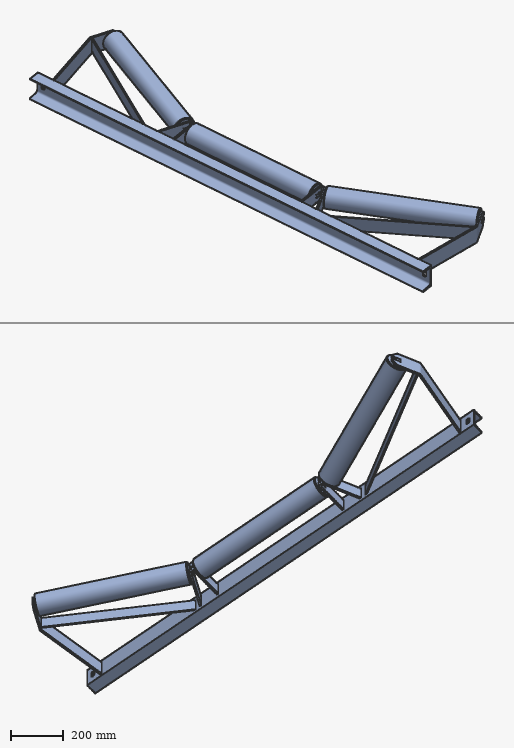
import cadquery as cq
import math


BEAM_LENGTH = 1900.0
BEAM_HEIGHT = 100.0
FLANGE_DEPTH = 50.0
WEB_THICKNESS = 5.0
FLANGE_ROOT = 10.0
FLANGE_TIP = 5.0
ROOT_FILLET = 10.0
TIP_FILLET = 4.0
SLOT_WIDTH = 17.0
SLOT_HEIGHT = 30.0
SLOT_FROM_END = 28.0

TROUGH_ANGLE = 25.0
ROLLER_LENGTH = 600.0
ROLLER_RADIUS = 44.6
ROLLER_END_CHAMFER = 4.0
ROLLER_TOP_Y = 420.0
CENTER_ROLLER_Y = 118.0
WING_ROLLER_X = 614.0
SHAFT_WIDTH = 15.0
SHAFT_DEPTH = 19.0

OUTER_PLATE_WIDTH = 76.0
INNER_PLATE_WIDTH = 60.0
PLATE_THICKNESS = 8.0
PLATE_GAP = 4.0
BRIDGE_TOP_Y = 145.0
OUTER_PLATE_TOP = 27.0
PLATE_TOP_CHAMFER = 20.0
BEND_Y = 302.0
BEND_RADIUS = 19.0
OUTER_FOOT_X = 885.0

STRUT_THICKNESS = 5.0
STRUT_WIDTH = 60.0
STRUT_FOOT_X = 422.0
STRUT_TOP_Y = 308.0

SIN = math.sin(math.radians(TROUGH_ANGLE))
COS = math.cos(math.radians(TROUGH_ANGLE))
WING_ROLLER_Y = (
    ROLLER_TOP_Y
    - (ROLLER_LENGTH / 2 - ROLLER_END_CHAMFER) * SIN
    - ROLLER_RADIUS * COS
)
PLATE_INSIDE = ROLLER_LENGTH / 2 + PLATE_GAP
PLATE_OUTSIDE = PLATE_INSIDE + PLATE_THICKNESS
PLATE_MIDDLE = (PLATE_INSIDE + PLATE_OUTSIDE) / 2


def wing_point(along, up):
    """Point in the frame of the +X wing roller: along its axis outward, up across it."""
    return (WING_ROLLER_X + along * COS - up * SIN, WING_ROLLER_Y + along * SIN + up * COS)


def wing_point_at_y(along, y):
    """Point at height y on the plane that crosses the wing roller axis at the given distance."""
    up = (y - WING_ROLLER_Y - along * SIN) / COS
    return wing_point(along, up)


def round_edges_near(body, points, radius):
    """Fillet the edge of body nearest to each point of the given XYZ list."""
    for point in points:
        body = body.edges(cq.selectors.NearestToPointSelector(point)).fillet(radius)
    return body


def make_beam():
    """Channel with tapered flanges, its web's back on the plane Y = 0, and a slot near each end."""
    half = BEAM_HEIGHT / 2
    root = half - FLANGE_ROOT
    tip = half - FLANGE_TIP
    beam = (
        cq.Workplane("YZ", origin=(-BEAM_LENGTH / 2, 0, 0))
        .polyline([
            (0, -half),
            (0, half),
            (-FLANGE_DEPTH, half),
            (-FLANGE_DEPTH, tip),
            (-WEB_THICKNESS, root),
            (-WEB_THICKNESS, -root),
            (-FLANGE_DEPTH, -tip),
            (-FLANGE_DEPTH, -half),
        ])
        .close()
        .extrude(BEAM_LENGTH)
    )
    beam = round_edges_near(beam, [(0, -WEB_THICKNESS, root), (0, -WEB_THICKNESS, -root)], ROOT_FILLET)
    beam = round_edges_near(beam, [(0, -FLANGE_DEPTH, tip), (0, -FLANGE_DEPTH, -tip)], TIP_FILLET)
    slot_x = BEAM_LENGTH / 2 - SLOT_FROM_END
    slots = (
        cq.Workplane("XZ")
        .pushPoints([(-slot_x, 0), (slot_x, 0)])
        .slot2D(SLOT_HEIGHT, SLOT_WIDTH, 90)
        .extrude(WEB_THICKNESS)
    )
    return beam.cut(slots)


def make_roller():
    """Roller along X centred on the origin, with a flat-sided shaft stub at each end."""
    barrel = (
        cq.Workplane("YZ", origin=(-ROLLER_LENGTH / 2, 0, 0))
        .circle(ROLLER_RADIUS)
        .extrude(ROLLER_LENGTH)
        .faces("<X or >X")
        .chamfer(ROLLER_END_CHAMFER)
    )
    shaft = cq.Workplane("XY").box(2 * PLATE_OUTSIDE, SHAFT_DEPTH, SHAFT_WIDTH)
    return barrel.union(shaft)


def place_on_wing(body):
    """Move a body from the roller's own frame to the +X wing."""
    return body.rotate((0, 0, 0), (0, 0, 1), TROUGH_ANGLE).translate((WING_ROLLER_X, WING_ROLLER_Y, 0))


def shaft_slot(start, end):
    """Open-topped slot for a roller shaft, in the roller's own frame."""
    depth = 2 * ROLLER_RADIUS
    return cq.Workplane("XY").box(end - start, depth, SHAFT_WIDTH).translate(
        ((start + end) / 2, (depth - SHAFT_DEPTH) / 2, 0))


def plate(points, width):
    """Extrude an XY outline to the given width, centred on Z = 0."""
    return cq.Workplane("XY", origin=(0, 0, -width / 2)).polyline(points).close().extrude(width)


def make_outer_bracket():
    """Bent plate at the outer end of the +X wing roller, slotted at its top for the shaft."""
    bend = wing_point_at_y(PLATE_OUTSIDE, BEND_Y)
    leg_angle = math.atan2(bend[0] - OUTER_FOOT_X, BEND_Y)
    foot_width = PLATE_THICKNESS / math.cos(leg_angle)
    half_turn = (math.radians(TROUGH_ANGLE) + leg_angle) / 2
    turn_middle = (math.radians(TROUGH_ANGLE) - leg_angle) / 2
    miter = PLATE_THICKNESS / math.cos(half_turn)
    inner_bend = (bend[0] - miter * math.cos(turn_middle), bend[1] - miter * math.sin(turn_middle))
    bracket = plate([
        (OUTER_FOOT_X, 0),
        bend,
        wing_point(PLATE_OUTSIDE, OUTER_PLATE_TOP),
        wing_point(PLATE_INSIDE, OUTER_PLATE_TOP),
        inner_bend,
        (OUTER_FOOT_X - foot_width, 0),
    ], OUTER_PLATE_WIDTH)
    bracket = round_edges_near(bracket, [(*bend, 0)], BEND_RADIUS)
    bracket = round_edges_near(bracket, [(*inner_bend, 0)], BEND_RADIUS - PLATE_THICKNESS)
    for side in (-1, 1):
        corner = (*wing_point(PLATE_MIDDLE, OUTER_PLATE_TOP), side * OUTER_PLATE_WIDTH / 2)
        bracket = bracket.edges(cq.selectors.NearestToPointSelector(corner)).chamfer(PLATE_TOP_CHAMFER)
    return bracket.cut(place_on_wing(shaft_slot(PLATE_INSIDE, PLATE_OUTSIDE)))


def make_inner_bracket():
    """Bent plate with one leg for the centre roller, one for the wing roller, and a bridge between."""
    bridge_under = BRIDGE_TOP_Y - PLATE_THICKNESS
    bracket = plate([
        (PLATE_INSIDE, 0),
        (PLATE_INSIDE, BRIDGE_TOP_Y),
        wing_point_at_y(-PLATE_INSIDE, BRIDGE_TOP_Y),
        wing_point_at_y(-PLATE_INSIDE, 0),
        wing_point_at_y(-PLATE_OUTSIDE, 0),
        wing_point_at_y(-PLATE_OUTSIDE, bridge_under),
        (PLATE_OUTSIDE, bridge_under),
        (PLATE_OUTSIDE, 0),
    ], INNER_PLATE_WIDTH)
    bracket = bracket.cut(place_on_wing(shaft_slot(-PLATE_OUTSIDE, -PLATE_INSIDE)))
    return bracket.cut(shaft_slot(PLATE_INSIDE, PLATE_OUTSIDE).translate((0, CENTER_ROLLER_Y, 0)))


def make_strut(bracket):
    """Flat bar from the beam back to the bend of the outer bracket, trimmed flush against both."""
    top_x, top_y = wing_point_at_y(PLATE_MIDDLE, STRUT_TOP_Y)
    run = top_x - STRUT_FOOT_X
    length = math.hypot(run, top_y)
    across_x = STRUT_THICKNESS / 2 * top_y / length
    across_y = STRUT_THICKNESS / 2 * run / length
    foot_half_width = STRUT_THICKNESS / 2 * length / top_y
    strut = plate([
        (STRUT_FOOT_X - foot_half_width, 0),
        (STRUT_FOOT_X + foot_half_width, 0),
        (top_x + across_x, top_y - across_y),
        (top_x - across_x, top_y + across_y),
    ], STRUT_WIDTH)
    return strut.cut(bracket)


beam = make_beam()
center_roller = make_roller().translate((0, CENTER_ROLLER_Y, 0))
wing_roller = place_on_wing(make_roller())
outer_bracket = make_outer_bracket()
inner_bracket = make_inner_bracket()
strut = make_strut(outer_bracket)

bodies = [beam.solids().val(), center_roller.solids().val()]
for body in (wing_roller, outer_bracket, inner_bracket, strut):
    bodies.append(body.solids().val())
    bodies.append(body.mirror("YZ").solids().val())

result = cq.Compound.makeCompound(bodies)